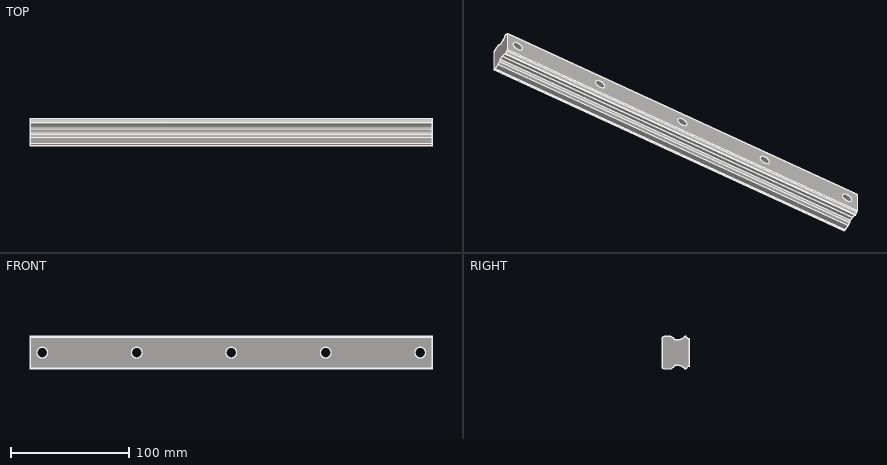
import cadquery as cq

length = 340.0
depth = 23.0
height = 28.0
half_height = height / 2
base_y = -depth / 2
head_y = depth / 2

chamfer_depth = 2.0
chamfer_drop = 1.0
land_end = 7.0

wall_y = 9.5
wall_top_z = 12.5
floor_start = 11.0
floor_end = 14.3
floor_z = 11.0
race_start_y = 15.3
race_start_z = 11.2
race_mid_y = 17.7
race_mid_z = 12.2

ridge_start = 19.5
ridge_end = 20.0
shoulder_y = 21.8
shoulder_z = 12.0

hole_diameter = 9.0
hole_count = 5
hole_pitch = 80.0


def side_wire(profile, side):
    """Trace one long side from base to head; side is +1 for top, -1 for bottom."""

    def point(distance, z):
        return (base_y + distance, side * z)

    return (
        profile.lineTo(*point(0, half_height - chamfer_drop))
        .lineTo(*point(chamfer_depth, half_height))
        .lineTo(*point(land_end, half_height))
        .lineTo(*point(wall_y, wall_top_z))
        .lineTo(*point(floor_start, floor_z))
        .lineTo(*point(floor_end, floor_z))
        .lineTo(*point(race_start_y, race_start_z))
        .threePointArc(point(race_mid_y, race_mid_z), point(ridge_start, half_height))
        .lineTo(*point(ridge_end, half_height))
        .lineTo(*point(shoulder_y, shoulder_z))
        .lineTo(head_y, side * shoulder_z)
        .lineTo(head_y, 0)
        .close()
    )


def half_rail(side):
    """Extrude the half of the rail above or below its mid-plane."""
    profile = cq.Workplane("YZ").moveTo(base_y, 0)
    return side_wire(profile, side).extrude(length / 2, both=True)


def mounting_holes():
    """Row of plain holes through the full depth, centred on the rail."""
    return (
        cq.Workplane("XZ")
        .rarray(hole_pitch, 3.5, hole_count, 1)
        .circle(hole_diameter / 2)
        .extrude(depth, both=True)
    )


rail = half_rail(1).union(half_rail(-1)).clean()
result = rail.cut(mounting_holes())